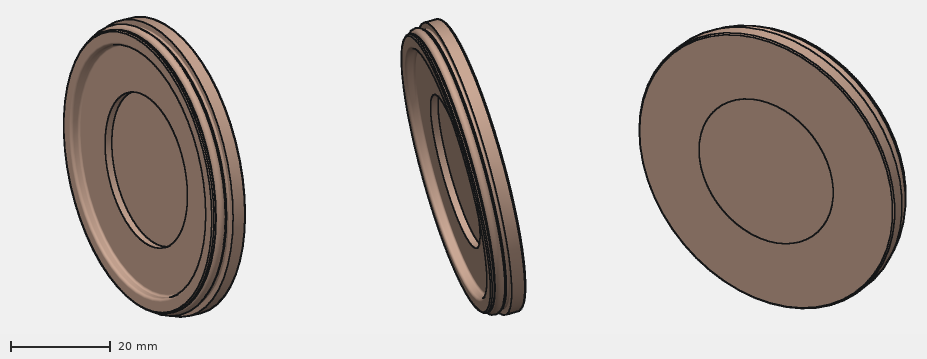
import cadquery as cq
import math


flange_radius = 61 / 2
total_depth = 7.0
flange_depth = 3.05
flange_chamfer = 0.3
flange_front = total_depth - flange_depth
spigot_radius = 58.2 / 2
spigot_chamfer = 0.3
root_fillet = 0.25
cavity_radius = 52.0 / 2
cavity_depth = 2.0
mouth_fillet = 0.6
floor_fillet = 0.5

window_radius = 32.0 / 2
window_setback = 1.6
window_front = cavity_depth + window_setback

groove_radius = 55.9 / 2
seal_section_radius = 1.0
seal_center_radius = groove_radius + seal_section_radius
seal_center_y = 2.0
groove_width = 2.1
groove_chamfer = 0.25
groove_front = seal_center_y - groove_width / 2
groove_back = seal_center_y + groove_width / 2

diagonal = math.sqrt(0.5)


def revolve_about_y(profile):
    """Revolve a (radius, y) profile one full turn about the Y axis."""
    return profile.close().revolve(360, (0, 0, 0), (0, 1, 0))


def make_housing():
    """Flanged ring with a rounded cavity in front, a central opening and a seal groove outside."""
    mouth_center = (cavity_radius + mouth_fillet, mouth_fillet)
    floor_center = (cavity_radius - floor_fillet, cavity_depth - floor_fillet)
    root_center = (spigot_radius + root_fillet, flange_front - root_fillet)
    profile = (
        cq.Workplane("XY")
        .moveTo(window_radius, total_depth)
        .lineTo(window_radius, cavity_depth)
        .lineTo(floor_center[0], cavity_depth)
        .threePointArc(
            (floor_center[0] + floor_fillet * diagonal, floor_center[1] + floor_fillet * diagonal),
            (cavity_radius, floor_center[1]),
        )
        .lineTo(cavity_radius, mouth_fillet)
        .threePointArc(
            (mouth_center[0] - mouth_fillet * diagonal, mouth_center[1] - mouth_fillet * diagonal),
            (mouth_center[0], 0),
        )
        .lineTo(spigot_radius - spigot_chamfer, 0)
        .lineTo(spigot_radius, spigot_chamfer)
        .lineTo(spigot_radius, groove_front - groove_chamfer)
        .lineTo(spigot_radius - groove_chamfer, groove_front)
        .lineTo(groove_radius, groove_front)
        .lineTo(groove_radius, groove_back)
        .lineTo(spigot_radius - groove_chamfer, groove_back)
        .lineTo(spigot_radius, groove_back + groove_chamfer)
        .lineTo(spigot_radius, root_center[1])
        .threePointArc(
            (root_center[0] - root_fillet * diagonal, root_center[1] + root_fillet * diagonal),
            (root_center[0], flange_front),
        )
        .lineTo(flange_radius, flange_front)
        .lineTo(flange_radius, total_depth - flange_chamfer)
        .lineTo(flange_radius - flange_chamfer, total_depth)
    )
    return revolve_about_y(profile)


def make_seal_ring():
    """Round-section ring resting on the groove floor."""
    section = cq.Workplane("XY").center(seal_center_radius, seal_center_y).circle(seal_section_radius)
    return section.revolve(360, (-seal_center_radius, 0, 0), (-seal_center_radius, 1, 0))


def make_window():
    """Plain disc filling the central opening, flush with the back face."""
    outline = [
        (0, window_front),
        (window_radius, window_front),
        (window_radius, total_depth),
        (0, total_depth),
    ]
    return revolve_about_y(cq.Workplane("XY").polyline(outline))


housing = make_housing()
seal_ring = make_seal_ring()
window = make_window()

result = cq.Compound.makeCompound([housing.val(), seal_ring.val(), window.val()])